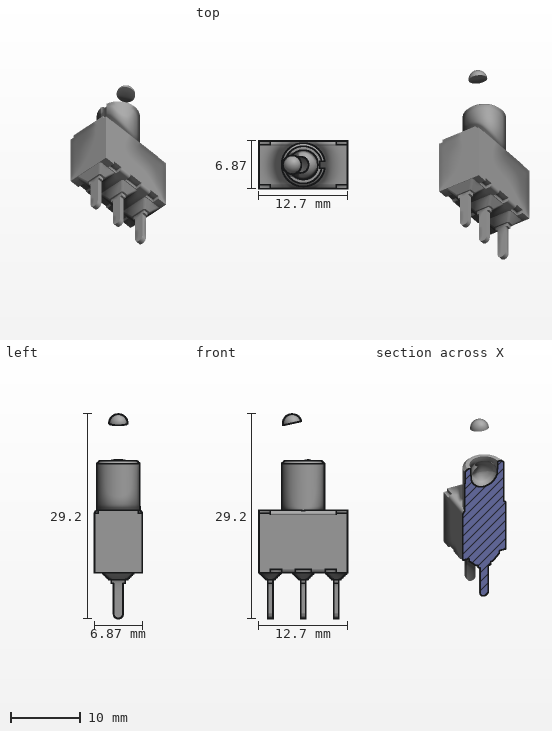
import cadquery as cq
import math

CASE_LENGTH = 12.7
CASE_WIDTH = 6.87
CASE_HEIGHT = 8.95
SHOULDER_HEIGHT = 8.48
TOP_WIDTH = 5.73
PIN_PITCH = 4.7
COVER_LENGTH = 2 * PIN_PITCH
COVER_TOP_RADIUS = (CASE_WIDTH - TOP_WIDTH) / 2

RECESS_HEIGHT = 0.53
RECESS_DEPTH = 1.02
TAB_LENGTH = 1.93
TAB_CENTRE = 2.14
TAB_RADIUS = 0.45

BUSHING_RADIUS = 3.1
BUSHING_HEIGHT = 7.08
BUSHING_TOP = CASE_HEIGHT + BUSHING_HEIGHT
BUSHING_CHAMFER = 0.45
BORE_RADIUS = 4.2 / 2
KEYWAY_WIDTH = 1.02
KEYWAY_FLOOR = 2.35

LEVER_TILT = 12.5
BALL_RADIUS = 2.14
BALL_HEIGHT = 14.15
MOUTH_RADIUS = 1.17
HOLLOW_RADIUS = 2.05
BOWL_RADIUS = 2.08
BOWL_DEPTH = 1.8

TIP_RADIUS = 1.35
TIP_TOP = 22.7
OVERALL_HEIGHT = 29.25

SEAL_HEIGHT = 0.97
SEAL_LENGTH = 3.15
SEAL_WIDTH = 4.6
SEAL_CORNER = 0.45
PIN_THICKNESS = 0.75
PIN_WIDTH = 1.37
PIN_BOTTOM = TIP_TOP - OVERALL_HEIGHT
COLLAR_WIDTH = 2.05
COLLAR_BOTTOM = -1.5

tilt = math.radians(LEVER_TILT)
lever_axis = cq.Vector(-math.sin(tilt), 0, math.cos(tilt))
ball_centre = cq.Vector(0, 0, BALL_HEIGHT)


def block(length, width, bottom, top, x=0, y=0):
    """Box centred on (x, y) between two heights."""
    return cq.Workplane().box(length, width, top - bottom, (True, True, False)).translate((x, y, bottom))


def make_cover():
    """Middle of the case, with rounded upper folds and the tabs along its lower edges."""
    cover = block(COVER_LENGTH, CASE_WIDTH, 0, CASE_HEIGHT)
    cover = cover.edges("|X and >Z").fillet(COVER_TOP_RADIUS)
    outer_recess = COVER_LENGTH / 2 - TAB_CENTRE - TAB_LENGTH / 2
    outer_centre = (COVER_LENGTH - outer_recess) / 2
    inner_recess = 2 * TAB_CENTRE - TAB_LENGTH
    recesses = [(-outer_centre, outer_recess), (0, inner_recess), (outer_centre, outer_recess)]
    for side in (-1, 1):
        y = side * (CASE_WIDTH - RECESS_DEPTH) / 2
        for x, length in recesses:
            cover = cover.cut(block(length, RECESS_DEPTH, 0, RECESS_HEIGHT, x, y))
    return cover.edges("|X and <Z and (>Y or <Y)").fillet(TAB_RADIUS)


def make_case():
    """Cover between the two end blocks, with the narrower raised top at each end."""
    case = make_cover()
    end_length = (CASE_LENGTH - COVER_LENGTH) / 2
    for side in (-1, 1):
        x = side * (CASE_LENGTH - end_length) / 2
        case = case.union(block(end_length, CASE_WIDTH, 0, SHOULDER_HEIGHT, x))
        case = case.union(block(end_length, TOP_WIDTH, 0, CASE_HEIGHT, x))
    return case


def make_bushing():
    """Chamfered cylinder with a keyway, and a bore that stops on the pivot ball."""
    bushing = cq.Workplane().workplane(offset=SHOULDER_HEIGHT).circle(BUSHING_RADIUS)
    bushing = bushing.extrude(BUSHING_TOP - SHOULDER_HEIGHT)
    bushing = bushing.faces(">Z").chamfer(BUSHING_CHAMFER)
    keyway_depth = BUSHING_RADIUS - KEYWAY_FLOOR
    keyway_x = KEYWAY_FLOOR + keyway_depth / 2
    bushing = bushing.cut(block(keyway_depth, KEYWAY_WIDTH, CASE_HEIGHT, BUSHING_TOP, keyway_x))
    bore = cq.Workplane().circle(BORE_RADIUS).extrude(BUSHING_HEIGHT).translate((0, 0, BALL_HEIGHT))
    ball = cq.Workplane().sphere(BALL_RADIUS).translate(ball_centre)
    return bushing.cut(bore).union(ball)


def make_hollow():
    """Sphere through the ball's mouth circle, with a shallower bowl as its floor."""
    mouth_distance = math.sqrt(BALL_RADIUS**2 - MOUTH_RADIUS**2)
    centre_offset = mouth_distance - math.sqrt(HOLLOW_RADIUS**2 - MOUTH_RADIUS**2)
    sphere = cq.Workplane().sphere(HOLLOW_RADIUS).translate(ball_centre + lever_axis * centre_offset)
    bowl_offset = BOWL_RADIUS - BOWL_DEPTH
    bowl = cq.Workplane().sphere(BOWL_RADIUS).translate(ball_centre + lever_axis * bowl_offset)
    return sphere.intersect(bowl)


def make_terminal(x):
    """Tapered seal, shoulder collar and round-ended flat pin at one X position."""
    inset = 2 * SEAL_HEIGHT
    seal = cq.Workplane().rect(SEAL_LENGTH, SEAL_WIDTH).workplane(offset=-SEAL_HEIGHT)
    seal = seal.rect(SEAL_LENGTH - inset, SEAL_WIDTH - inset).loft()
    seal = seal.edges("not #Z").fillet(SEAL_CORNER)
    collar = block(PIN_THICKNESS, COLLAR_WIDTH, COLLAR_BOTTOM, -SEAL_HEIGHT)
    pin = block(PIN_THICKNESS, PIN_WIDTH, PIN_BOTTOM + PIN_WIDTH / 2, COLLAR_BOTTOM)
    end = cq.Workplane("YZ").circle(PIN_WIDTH / 2).extrude(PIN_THICKNESS / 2, both=True)
    end = end.translate((0, 0, PIN_BOTTOM + PIN_WIDTH / 2))
    return seal.union(collar).union(pin).union(end).translate((x, 0, 0))


def make_switch():
    """Case, bushing and terminals as one solid."""
    switch = make_case().union(make_bushing()).cut(make_hollow())
    for position in (-1, 0, 1):
        switch = switch.union(make_terminal(position * PIN_PITCH))
    return switch


def make_lever_tip():
    """Half ball whose flat side faces the pivot ball squarely along the lever axis."""
    height = TIP_TOP - TIP_RADIUS
    centre = cq.Vector(-(height - BALL_HEIGHT) * math.tan(tilt), 0, height)
    tip = cq.Workplane().sphere(TIP_RADIUS, angle1=0)
    return tip.rotate((0, 0, 0), (0, 1, 0), -LEVER_TILT).translate(centre)


switch = make_switch()
lever_tip = make_lever_tip()
result = cq.Compound.makeCompound([switch.val(), lever_tip.val()])